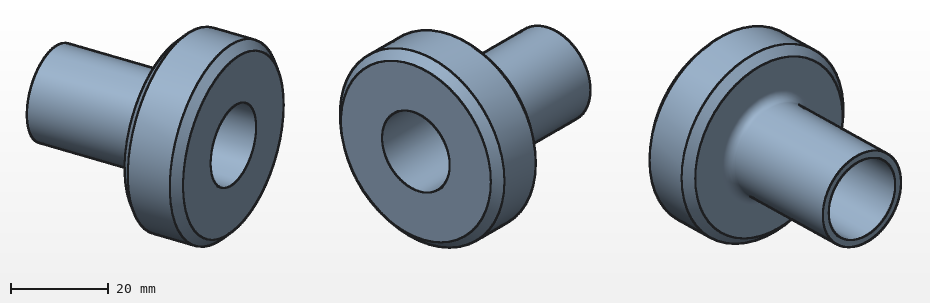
import cadquery as cq

total_length = 43.0
flange_diameter = 44.0
flange_thickness = 14.0
flange_chamfer = 2.0
tube_diameter = 21.3
bore_diameter = 18.1
root_fillet = 2.0

flange_start = total_length - flange_thickness


def cylinder_along_x(start, length, diameter):
    return cq.Workplane("YZ", origin=(start, 0, 0)).circle(diameter / 2).extrude(length)


flange = cylinder_along_x(flange_start, flange_thickness, flange_diameter)
flange = flange.edges("%CIRCLE").chamfer(flange_chamfer)

tube = cylinder_along_x(0, total_length, tube_diameter)
body = flange.union(tube)
root_edge = cq.selectors.RadiusNthSelector(0)
body = body.faces("<X[1]").edges(root_edge).fillet(root_fillet)

result = body.cut(cylinder_along_x(0, total_length, bore_diameter))